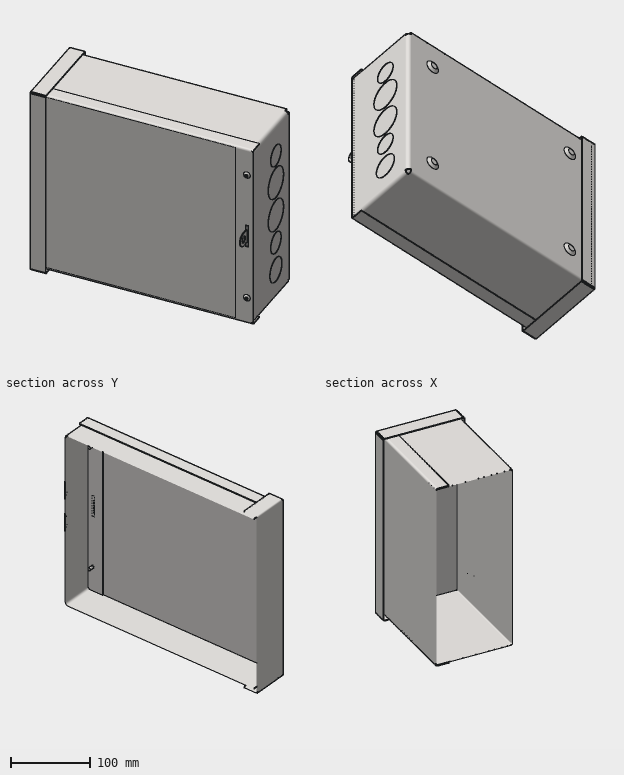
import cadquery as cq
import math


sheet = 1.52

cap_height = 269.88
cap_length = 22.2
cap_back_y = sheet
cap_front_y = -115.6
cap_bend = 2.1

start_x = 6.0
end_x = 311.15
cover_front_y = -110.1
cover_height = 263.525
cover_flange_depth = 18.9
cover_bend = 3.2
box_height = cover_height - 2 * sheet
box_front_y = cover_front_y + sheet
back_bend = 3.2
end_bend = 5.2
relief_depth = 6.2
lip_width = 25.0

boss_height = 3.175
boss_top_radius = 4.8
boss_base_radius = 9.525
boss_x = (42.0, 270.6)
boss_z = (-89.0, 89.0)

outer_x = 311.92
knockout_y = -44.1
knockouts = ((85.7, 30.2), (44.7, 44.45), (-4.3, 44.45), (-46.0, 30.2), (-87.0, 34.9))

screw_x = 302.8
screw_spacing = 185.6
head_diameter = 9.53
head_height = 2.3
crown_diameter = 4.19
socket_diameter = 3.17
socket_depth = 1.5
shank_diameter = 4.17
shank_length = 9.5

hasp_tip_y = boss_height - 130.16
hasp_diameter = 19.05
hasp_hole_diameter = 9.53
hasp_z = -0.8
hasp_thickness = 1.52
slot_left_x = 300.5
slot_width = 4.0
slot_height = 31.75


def block(x_range, y_range, z_range):
    """Box between the given limits along X, Y and Z."""
    size = [high - low for low, high in (x_range, y_range, z_range)]
    corner = (x_range[0], y_range[0], z_range[0])
    return cq.Workplane("XY").box(*size, centered=False).translate(corner)


def screw_points():
    """Screw axes as points of an XZ workplane."""
    return [(screw_x, side * screw_spacing / 2) for side in (-1, 1)]


def make_cap():
    """Shallow tray: an end plate with four folded flanges, open at the corners."""
    half = cap_height / 2
    cap = block((0, cap_length), (cap_front_y, cap_back_y), (-half, half))
    cap = cap.faces("<X").edges().fillet(cap_bend)
    inside = block(
        (sheet, cap_length),
        (cap_front_y + sheet, cap_back_y - sheet),
        (sheet - half, half - sheet),
    )
    cap = cap.cut(inside.faces("<X").edges().fillet(cap_bend - sheet))
    for y in (cap_front_y, cap_back_y - cap_bend):
        for z in (-half, half - cap_bend):
            cap = cap.cut(block((0, cap_length), (y, y + cap_bend), (z, z + cap_bend)))
    return cap


def box_form(inset):
    """Rounded block of the box, with its faces moved inward by the inset."""
    x_low = start_x
    x_high = end_x - inset
    y_high = -inset
    half = box_height / 2 - inset
    y_low = box_front_y
    across_back = block((x_low, x_high), (y_low, y_high), (-half, half))
    across_back = across_back.edges("|X and >Y").fillet(back_bend - inset)
    across_end = block((x_low, x_high), (y_low, y_high), (-half, half))
    across_end = across_end.edges("|Y and >X").fillet(end_bend - inset)
    corner = block((x_low, x_high), (y_low, y_high), (-half, half))
    corner = corner.edges("|Z and >X and >Y").fillet(end_bend - inset)
    return across_back.intersect(across_end).intersect(corner)


def make_boss():
    """Conical boss around the Y axis, standing on the back wall."""
    profile = (
        cq.Workplane("XY")
        .lineTo(boss_base_radius, 0)
        .lineTo(boss_top_radius, boss_height)
        .lineTo(0, boss_height)
        .close()
    )
    return profile.revolve(360, (0, 0, 0), (0, 1, 0))


def make_box():
    """Back, end and side walls, with a front lip, bosses and knockouts."""
    half = box_height / 2
    box = box_form(0).cut(box_form(sheet))

    lip = block((end_x - lip_width, end_x), (box_front_y, box_front_y + sheet), (-half, half))
    box = box.union(lip.intersect(box_form(0)))

    box = box.intersect(cover_inside())

    for z_range in ((-half, end_bend - half), (half - end_bend, half)):
        box = box.cut(block((end_x - end_bend, end_x), (-relief_depth, 0), z_range))

    for x in boss_x:
        for z in boss_z:
            box = box.union(make_boss().translate((x, 0, z)))

    for z, diameter in knockouts:
        disc = cq.Workplane("YZ", origin=(end_x - sheet, knockout_y, z))
        box = box.union(disc.circle(diameter / 2).extrude(outer_x - end_x + sheet))

    return box.cut(screw_holes())


def screw_holes():
    """Shank clearance through the cover and the lip."""
    plane = cq.Workplane("XZ", origin=(0, cover_front_y, 0))
    return plane.pushPoints(screw_points()).circle(shank_diameter / 2).extrude(-2 * sheet)


def cover_inside():
    """Space enclosed by the cover, with rounded front corners, down to the back wall."""
    half = box_height / 2
    space = block((start_x, end_x), (box_front_y, 0), (-half, half))
    return space.edges("|X and <Y").fillet(cover_bend - sheet)


def make_cover():
    """Front panel with a folded flange along each long side."""
    half = cover_height / 2
    back_y = cover_front_y + cover_flange_depth
    cover = block((start_x, end_x), (cover_front_y, back_y), (-half, half))
    cover = cover.edges("|X and <Y").fillet(cover_bend)
    cover = cover.cut(cover_inside())
    slot = block(
        (slot_left_x, slot_left_x + slot_width),
        (cover_front_y, box_front_y),
        (-slot_height / 2, slot_height / 2),
    )
    return cover.cut(slot).cut(screw_holes())


def make_hasp():
    """Padlock tab with a round nose, standing on the lip in the cover's slot."""
    radius = hasp_diameter / 2
    nose_y = hasp_tip_y + radius
    tab = (
        cq.Workplane("YZ", origin=(slot_left_x, 0, hasp_z))
        .moveTo(box_front_y, radius)
        .lineTo(nose_y, radius)
        .threePointArc((hasp_tip_y, 0), (nose_y, -radius))
        .lineTo(box_front_y, -radius)
        .close()
        .extrude(hasp_thickness)
    )
    hole = cq.Workplane("YZ", origin=(slot_left_x, nose_y, hasp_z))
    return tab.cut(hole.circle(hasp_hole_diameter / 2).extrude(hasp_thickness))


def make_screw():
    """Round-headed screw with a socket, its axis along Y and its head toward -Y."""
    rim = head_diameter / 2
    crown = crown_diameter / 2
    center_y = (rim**2 - crown**2 - head_height**2) / (2 * head_height)
    sphere = math.hypot(rim, center_y)
    middle_radius = (rim + crown) / 2
    dome_middle = (middle_radius, center_y - math.sqrt(sphere**2 - middle_radius**2))
    profile = (
        cq.Workplane("XY")
        .moveTo(0, shank_length)
        .lineTo(shank_diameter / 2, shank_length)
        .lineTo(shank_diameter / 2, 0)
        .lineTo(head_diameter / 2, 0)
        .threePointArc(dome_middle, (crown_diameter / 2, -head_height))
        .lineTo(socket_diameter / 2, -head_height)
        .lineTo(socket_diameter / 2, socket_depth - head_height)
        .lineTo(0, socket_depth - head_height)
        .close()
    )
    return profile.revolve(360, (0, 0, 0), (0, 1, 0))


cap = make_cap()
box = make_box()
cover = make_cover()
hasp = make_hasp()
screws = [make_screw().translate((x, cover_front_y, z)) for x, z in screw_points()]

bodies = [cap, box, cover, hasp, *screws]
result = cq.Compound.makeCompound([body.solids().val() for body in bodies])